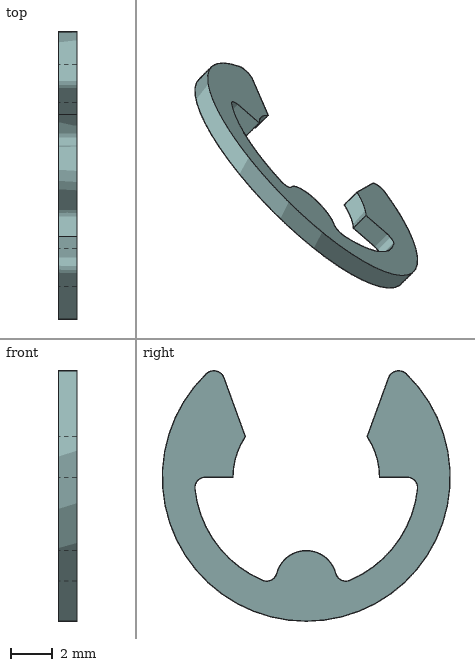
import cadquery as cq
import math

thickness = 0.9
outer_radius = 6.89
shaft_radius = 3.5
pocket_radius = 5.35
lug_radius = 1.46
mouth_half_width = 2.91
mouth_angle = 20.0
pocket_fillet = 0.5
tip_fillet = 0.52

mouth_base = math.sqrt(shaft_radius**2 - mouth_half_width**2)
mouth_top = outer_radius
flare = (mouth_top - mouth_base) * math.tan(math.radians(mouth_angle))
mouth_top_half_width = mouth_half_width + flare


def disc(radius, height=0.0):
    """Disc of the ring thickness, its centre at the given height above the shaft axis."""
    return (
        cq.Workplane("YZ")
        .center(0, height)
        .circle(radius)
        .extrude(thickness / 2, both=True)
    )


def mouth():
    """Flared opening above the prong points."""
    return (
        cq.Workplane("YZ")
        .moveTo(-mouth_half_width, mouth_base)
        .lineTo(-mouth_top_half_width, mouth_top)
        .lineTo(mouth_top_half_width, mouth_top)
        .lineTo(mouth_half_width, mouth_base)
        .close()
        .extrude(thickness / 2, both=True)
    )


def pocket():
    """Lower half disc between the spring arms, with the bottom lug left standing."""
    upper_half = cq.Workplane("XY").box(
        2 * thickness, 2 * outer_radius, outer_radius, centered=(True, True, False)
    )
    lug = disc(lug_radius, -shaft_radius - lug_radius)
    half_disc = disc(pocket_radius).cut(upper_half)
    return half_disc.cut(lug).edges("|X").fillet(pocket_fillet)


ring = disc(outer_radius).cut(disc(shaft_radius)).cut(mouth()).cut(pocket())

tip_zone = cq.selectors.BoxSelector(
    (-thickness, -outer_radius, pocket_radius / 2),
    (thickness, outer_radius, outer_radius),
)
result = ring.edges("|X").edges(tip_zone).edges(">Z").fillet(tip_fillet)